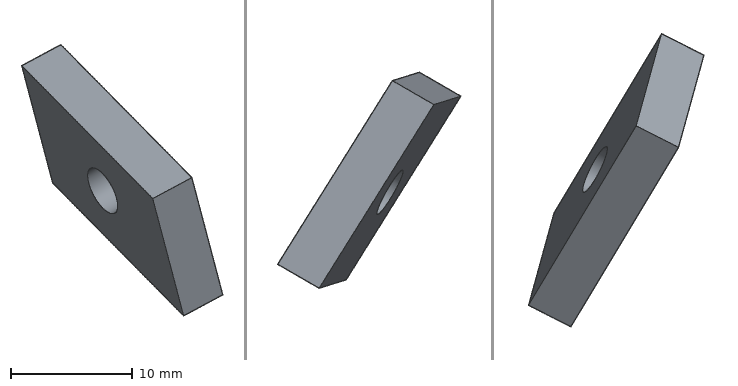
import cadquery as cq

length = 22.75
thickness = 4.0
height = 10.5
slant = 4.35
hole_diameter = 4.2

half_length = length / 2
half_height = height / 2

outline = [
    (-half_length, half_height),
    (half_length - slant, half_height),
    (half_length, -half_height),
    (-half_length + slant, -half_height),
]
plate = (
    cq.Workplane("XZ", origin=(0, thickness / 2, 0))
    .polyline(outline)
    .close()
    .extrude(thickness)
)

result = plate.faces("<Y").workplane(origin=(0, 0, 0)).hole(hole_diameter)